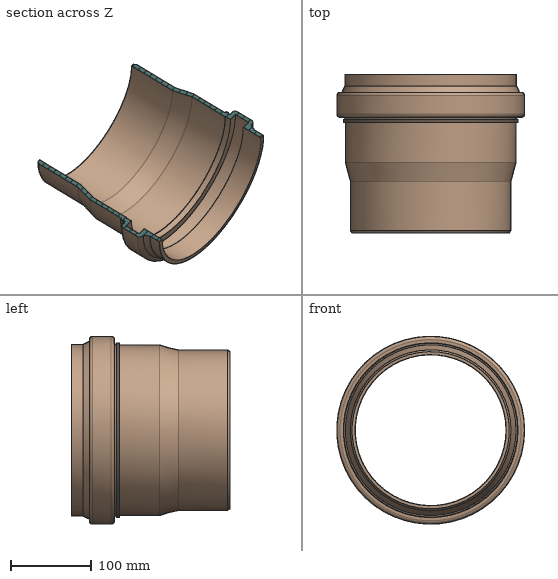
import cadquery as cq


socket_wall = 5.6

spigot_radius = 200.2 / 2
spigot_bore_radius = 187.8 / 2
spigot_chamfer_length = 3.4
spigot_chamfer_depth = 2.2
spigot_end = 64.5

body_radius = 212.7 / 2
cone_end = 88.0
bore_cone_end = 89.5

ring_radius = 217.7 / 2
ring_start = 137.9
ring_end = 141.9
ring_chamfer = 0.6

collar_radius = 234.2 / 2
collar_fillet = 4.2
collar_start = 144.2
neck_fillet = 1.9
collar_end = 175.5

shoulder_base_radius = 110.8
shoulder_top_radius = 107.5
mouth_radius = 213.9 / 2
shoulder_top = 182.6
mouth_start = 183.4
mouth_chamfer = 0.3
total_length = 198.0

body_bore_radius = body_radius - socket_wall
mouth_bore_radius = mouth_radius - socket_wall
groove_radius = collar_radius - socket_wall
groove_start = collar_start + socket_wall
groove_end = collar_end - socket_wall


def revolve_about_y(profile):
    return profile.close().revolve(360, (0, 0, 0), (0, 1, 0))


def make_outside():
    profile = (
        cq.Workplane("XY")
        .moveTo(0, 0)
        .lineTo(spigot_radius - spigot_chamfer_depth, 0)
        .lineTo(spigot_radius, spigot_chamfer_length)
        .lineTo(spigot_radius, spigot_end)
        .lineTo(body_radius, cone_end)
        .lineTo(body_radius, ring_start)
        .lineTo(ring_radius - ring_chamfer, ring_start)
        .lineTo(ring_radius, ring_start + ring_chamfer)
        .lineTo(ring_radius, ring_end - ring_chamfer)
        .lineTo(ring_radius - ring_chamfer, ring_end)
        .lineTo(mouth_radius, ring_end)
        .lineTo(mouth_radius, collar_start - neck_fillet)
        .radiusArc((mouth_radius + neck_fillet, collar_start), neck_fillet)
        .lineTo(collar_radius - collar_fillet, collar_start)
        .radiusArc((collar_radius, collar_start + collar_fillet), -collar_fillet)
        .lineTo(collar_radius, collar_end - collar_fillet)
        .radiusArc((collar_radius - collar_fillet, collar_end), -collar_fillet)
        .lineTo(shoulder_base_radius, collar_end)
        .lineTo(shoulder_top_radius, shoulder_top)
        .lineTo(mouth_radius, mouth_start)
        .lineTo(mouth_radius, total_length - mouth_chamfer)
        .lineTo(mouth_radius - mouth_chamfer, total_length)
        .lineTo(0, total_length)
    )
    return revolve_about_y(profile)


def make_bore():
    profile = (
        cq.Workplane("XY")
        .moveTo(0, 0)
        .lineTo(spigot_bore_radius, 0)
        .lineTo(spigot_bore_radius, spigot_end)
        .lineTo(body_bore_radius, bore_cone_end)
        .lineTo(body_bore_radius, ring_end)
        .lineTo(mouth_bore_radius, ring_end)
        .lineTo(mouth_bore_radius, groove_start)
        .lineTo(groove_radius, groove_start)
        .lineTo(groove_radius, groove_end)
        .lineTo(mouth_bore_radius, groove_end)
        .lineTo(mouth_bore_radius, total_length)
        .lineTo(0, total_length)
    )
    return revolve_about_y(profile)


result = make_outside().cut(make_bore())